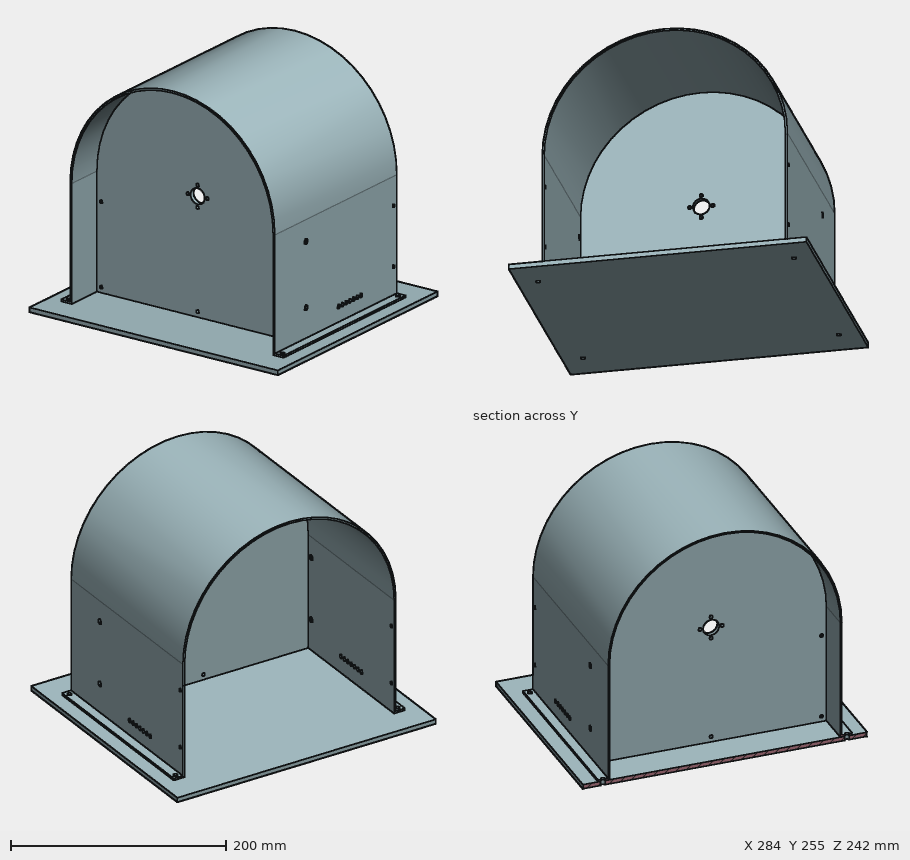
import cadquery as cq

base_length = 284.0
base_depth = 255.0
base_thickness = 4.8

overall_height = 242.0
hood_width = 234.0
hood_depth = 194.8
sheet_thickness = 2.0
flange_width = 10.0
flange_hole_diameter = 4.3
end_margin = 5.0

hood_radius = hood_width / 2
inner_radius = hood_radius - sheet_thickness
arch_center_z = overall_height - hood_radius
hood_front_y = -hood_depth / 2
flange_hole_x = hood_radius + flange_width / 2
flange_hole_y = hood_depth / 2 - end_margin

side_hole_diameter = 5.0
side_hole_y = -47.5
side_hole_heights = (37.0, 102.8)
rear_hole_diameter = 3.0
rear_hole_y = hood_depth / 2 - end_margin
rear_hole_heights = (34.6, 95.0)
vent_diameter = 4.0
vent_count = 7
vent_pitch = 6.0
vent_row_center_y = 22.5
vent_row_z = 22.2

bulkhead_setback = 40.0
bulkhead_thickness = 5.0
shaft_hole_diameter = 16.0
screw_hole_diameter = 3.0
shaft_screw_radius = 11.0
edge_screw_inset = 4.8
lower_screw_z = 10.2
upper_screw_z = 95.0
edge_screw_depth = bulkhead_thickness / 2

bulkhead_front_y = hood_front_y + bulkhead_setback
edge_screw_offset = inner_radius - edge_screw_inset


def arch_prism(radius, front_y, depth):
    """Round-topped block standing on the base plate and running toward +Y."""
    return (
        cq.Workplane("XZ", origin=(0, front_y, 0))
        .moveTo(-radius, base_thickness)
        .lineTo(-radius, arch_center_z)
        .threePointArc((0, arch_center_z + radius), (radius, arch_center_z))
        .lineTo(radius, base_thickness)
        .close()
        .extrude(-depth)
    )


def cross_holes(points, diameter):
    """Cutters along X, through both side walls, at (y, z) points."""
    return (
        cq.Workplane("YZ", origin=(-hood_width, 0, 0))
        .pushPoints(points)
        .circle(diameter / 2)
        .extrude(2 * hood_width)
    )


def bulkhead_holes(points, diameter, depth):
    """Cutters into the bulkhead from its front face at (x, z) points."""
    return (
        cq.Workplane("XZ", origin=(0, bulkhead_front_y, 0))
        .pushPoints(points)
        .circle(diameter / 2)
        .extrude(-depth)
    )


def flange_holes():
    """Vertical cutters at the four corners of the hood's foot flanges."""
    return (
        cq.Workplane("XY")
        .rect(2 * flange_hole_x, 2 * flange_hole_y, forConstruction=True)
        .vertices()
        .circle(flange_hole_diameter / 2)
        .extrude(base_thickness + sheet_thickness)
    )


def make_base():
    """Flat plate with four holes under the flange holes."""
    plate = cq.Workplane("XY").box(
        base_length, base_depth, base_thickness, centered=(True, True, False)
    )
    return plate.cut(flange_holes())


def make_hood():
    """Bent sheet: arch, side walls and flanges in one piece, open at both ends."""
    flange_span = hood_width + 2 * flange_width
    feet = cq.Workplane("XY", origin=(0, 0, base_thickness)).box(
        flange_span, hood_depth, sheet_thickness, centered=(True, True, False)
    )
    outside = arch_prism(hood_radius, hood_front_y, hood_depth)
    inside = arch_prism(inner_radius, hood_front_y, hood_depth)
    hood = outside.union(feet).cut(inside).cut(flange_holes())

    side_points = [(side_hole_y, z) for z in side_hole_heights]
    rear_points = [(rear_hole_y, z) for z in rear_hole_heights]
    first_vent_y = vent_row_center_y - vent_pitch * (vent_count - 1) / 2
    vent_points = [(first_vent_y + i * vent_pitch, vent_row_z) for i in range(vent_count)]
    hood = hood.cut(cross_holes(side_points, side_hole_diameter))
    hood = hood.cut(cross_holes(rear_points, rear_hole_diameter))
    return hood.cut(cross_holes(vent_points, vent_diameter))


def make_bulkhead():
    """Arched plate with a shaft hole, four screws around it and screws along its edge."""
    plate = arch_prism(inner_radius, bulkhead_front_y, bulkhead_thickness)

    shaft_point = [(0, arch_center_z)]
    through_screws = [
        (-shaft_screw_radius, arch_center_z),
        (shaft_screw_radius, arch_center_z),
        (0, arch_center_z - shaft_screw_radius),
        (0, arch_center_z + shaft_screw_radius),
        (0, lower_screw_z),
    ]
    blind_screws = [(0, arch_center_z + edge_screw_offset)]
    for x in (-edge_screw_offset, edge_screw_offset):
        blind_screws += [(x, lower_screw_z), (x, upper_screw_z)]

    plate = plate.cut(bulkhead_holes(shaft_point, shaft_hole_diameter, bulkhead_thickness))
    plate = plate.cut(bulkhead_holes(through_screws, screw_hole_diameter, bulkhead_thickness))
    return plate.cut(bulkhead_holes(blind_screws, screw_hole_diameter, edge_screw_depth))


base = make_base()
hood = make_hood()
bulkhead = make_bulkhead()

result = cq.Compound.makeCompound([base.val(), hood.val(), bulkhead.val()])